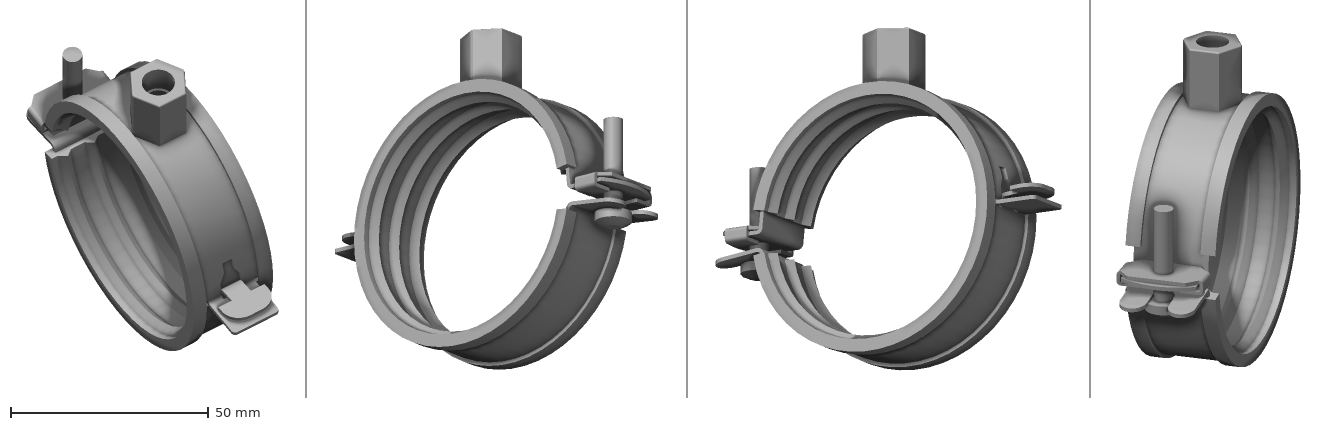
import cadquery as cq
import math


SHEET = 1.0
BAND_OUTER_R = 34.1
BAND_INNER_R = BAND_OUTER_R - SHEET
BAND_HALF_W = 10.0
FAR = 56.6

UPPER_EAR_SIDE_X = -44.2
UPPER_EAR_TIP_X = -47.0
UPPER_EAR_BEND_R = 0.5
UPPER_EAR_CORNER_R = UPPER_EAR_BEND_R + SHEET
HINGE_TAB_END_X = 46.0
HINGE_HALF_W = 7.0
HINGE_TAB_CORNER_R = 1.1
HINGE_BEND_R = 0.9
HINGE_CORNER_R = HINGE_BEND_R + SHEET
WINDOW_CLEARANCE = 0.1
WINDOW_TAPER_Z = 5.7
WINDOW_TAPER_END_Z = 8.3
WINDOW_TOP_Z = 11.3
WINDOW_TOP_HALF_W = 1.5
WINDOW_END_X = BAND_OUTER_R + HINGE_BEND_R + WINDOW_CLEARANCE

HOOK_TILT = 4.9
HOOK_ROOT_Z = 3.8
HOOK_NECK_HALF_W = 2.9
HOOK_HEAD_X = 38.7
HOOK_END_X = 45.7
HOOK_CORNER_R = 5.2
LOWER_END_Z = -0.1
LOWER_EAR_TILT = 6.5
LOBE_TILT = 10.0
LOWER_EAR_ROOT_Z = -3.5
CREASE_X = -46.6
LOBE_TIP_X = -48.4
LOWER_EAR_BEND_R = 0.9
LOWER_EAR_CORNER_R = LOWER_EAR_BEND_R + SHEET
EAR_SLOT_HALF_W = 2.9

LINER_HALF_W = 12.0
LINER_BASE_R = 31.7
LINER_OUTER_R = 35.0
LINER_LIP_Y = 8.0
LINER_GAP_HALF_ANGLE = 9.8
RIB_TIP_R = 30.0
RIB_HALF_W = 2.0
RIB_PITCH = 8.1
RIB_COUNT = 3

SCREW_X = -40.0
SHANK_D = 5.0
SHANK_TOP_Z = 19.6
SHANK_END_Z = -4.0
RELIEF_D = 4.9
RELIEF_END_Z = -4.5
NECK_D = 4.7
HEAD_D = 9.5
HEAD_TOP_Z = -5.3
HEAD_RIM_Z = -7.6
HEAD_BOTTOM_Z = -9.1
HEAD_FLAT_D = 3.8

CLIP_SHEET = 0.9
CLIP_TOP_Z = 2.5
CLIP_BOTTOM_Z = -1.5
CLIP_HALF_L = 5.9
CLIP_SIDE_HALF_W = 7.8
CLIP_HALF_W = 11.5
CLIP_BEND_R = 1.1
FLANGE_HALF_L = 3.2
FLANGE_LIP_Y = 5.5

NUT_ACROSS_FLATS = 13.8
NUT_HALF_W = 7.7
NUT_TOP_Z = 50.0
NUT_EDGE_R = 0.5
NUT_BORE_D = 8.4
NUT_BORE_DEPTH = 7.55
NUT_LOWER_BORE_D = 7.0


def cylinder_z(x, diameter, z_low, z_high):
    """Vertical cylinder on the plane Y = 0."""
    return cq.Workplane("XY", origin=(x, 0, z_low)).circle(diameter / 2).extrude(z_high - z_low)


def box(x_range, y_range, z_range):
    size = [high - low for low, high in (x_range, y_range, z_range)]
    corner = (x_range[0], y_range[0], z_range[0])
    return cq.Workplane("XY").box(*size, centered=False).translate(corner)


def band_side():
    """Plane of the rear band edge, from which sheet shapes grow toward the front edge."""
    return cq.Workplane("XZ", origin=(0, BAND_HALF_W, 0))


def sheet_profile(points):
    """Side profile in the XZ plane, extruded over the full band width."""
    return band_side().polyline(points).close().extrude(2 * BAND_HALF_W)


def full_band():
    return band_side().circle(BAND_OUTER_R).circle(BAND_INNER_R).extrude(2 * BAND_HALF_W)


def plan_prism(plan):
    """Tall prism over a plan outline, used to trim sheet metal to that outline."""
    return plan.extrude(FAR, both=True)


def round_edge(body, x, z, radius):
    """Round the edge along Y that lies nearest to (x, z)."""
    return body.edges("|Y").edges(cq.selectors.NearestToPointSelector((x, 0, z))).fillet(radius)


def beside(half_width):
    """The two Y ranges on either side of a centred strip."""
    return [(-FAR, -half_width), (half_width, FAR)]


def circle_x(radius, z):
    return math.sqrt(radius**2 - z**2)


def make_upper_band():
    band = full_band().intersect(box((-FAR, FAR), (-FAR, FAR), (0, FAR)))
    for y_range in beside(HINGE_HALF_W):
        band = band.cut(box((0, FAR), y_range, (0, HINGE_CORNER_R)))
    root_x = BAND_INNER_R + SHEET / 2
    ear = box((-FAR, -root_x), (-BAND_HALF_W, BAND_HALF_W), (0, SHEET))
    tab = box((root_x, HINGE_TAB_END_X), (-HINGE_HALF_W, HINGE_HALF_W), (0, SHEET))
    tab = tab.edges("|Z and >X").fillet(HINGE_TAB_CORNER_R)
    band = band.union(ear).union(tab)

    bend_x = circle_x(BAND_OUTER_R, SHEET)
    band = round_edge(band, -BAND_INNER_R, 0, UPPER_EAR_CORNER_R)
    band = round_edge(band, -bend_x, SHEET, UPPER_EAR_BEND_R)
    band = round_edge(band, BAND_INNER_R, 0, HINGE_CORNER_R)
    band = round_edge(band, bend_x, SHEET, HINGE_BEND_R)

    plan = (
        cq.Workplane("XY")
        .moveTo(FAR, -BAND_HALF_W)
        .lineTo(FAR, BAND_HALF_W)
        .lineTo(UPPER_EAR_SIDE_X, BAND_HALF_W)
        .threePointArc((UPPER_EAR_TIP_X, 0), (UPPER_EAR_SIDE_X, -BAND_HALF_W))
        .close()
    )
    band = band.intersect(plan_prism(plan))
    screw_hole = cylinder_z(SCREW_X, SHANK_D, -SHEET, 2 * SHEET)
    return band.cut(hook_window()).cut(screw_hole)


def hook_window():
    """Opening through band and bend that the hook of the lower half passes through."""
    half_w = HOOK_NECK_HALF_W + WINDOW_CLEARANCE
    outline = [
        (-half_w, -SHEET),
        (half_w, -SHEET),
        (half_w, WINDOW_TAPER_Z),
        (WINDOW_TOP_HALF_W, WINDOW_TAPER_END_Z),
        (WINDOW_TOP_HALF_W, WINDOW_TOP_Z),
        (-WINDOW_TOP_HALF_W, WINDOW_TOP_Z),
        (-WINDOW_TOP_HALF_W, WINDOW_TAPER_END_Z),
        (-half_w, WINDOW_TAPER_Z),
    ]
    return cq.Workplane("YZ").polyline(outline).close().extrude(WINDOW_END_X)


def ear_top(x):
    return LOWER_EAR_ROOT_Z + (x + BAND_OUTER_R) * math.tan(math.radians(LOWER_EAR_TILT))


def hook_top(x):
    return HOOK_ROOT_Z + (x - BAND_OUTER_R) * math.tan(math.radians(HOOK_TILT))


def make_lower_band():
    join_x = BAND_INNER_R / 2
    below_ends = sheet_profile(
        [
            (-FAR, ear_top(-FAR)),
            (-join_x, ear_top(-join_x)),
            (join_x, hook_top(join_x)),
            (FAR, hook_top(FAR)),
            (FAR, -FAR),
            (-FAR, -FAR),
        ]
    )
    tip_z = ear_top(CREASE_X) - (CREASE_X - LOBE_TIP_X) * math.tan(math.radians(LOBE_TILT))
    root_x = -circle_x(BAND_INNER_R, LOWER_EAR_ROOT_Z) - SHEET / 2
    ear = sheet_profile(
        [
            (root_x, ear_top(root_x)),
            (CREASE_X, ear_top(CREASE_X)),
            (LOBE_TIP_X, tip_z),
            (LOBE_TIP_X, tip_z - SHEET),
            (CREASE_X, ear_top(CREASE_X) - SHEET),
            (root_x, ear_top(root_x) - SHEET),
        ]
    )
    hook_root_x = circle_x(BAND_INNER_R, HOOK_ROOT_Z) + SHEET / 2
    hook = sheet_profile(
        [
            (hook_root_x, hook_top(hook_root_x)),
            (HOOK_END_X, hook_top(HOOK_END_X)),
            (HOOK_END_X, hook_top(HOOK_END_X) - SHEET),
            (hook_root_x, hook_top(hook_root_x) - SHEET),
        ]
    )
    band = full_band().intersect(below_ends).union(ear).union(hook)

    ear_corner_x = -circle_x(BAND_INNER_R, LOWER_EAR_ROOT_Z)
    ear_root_z = LOWER_EAR_ROOT_Z - SHEET
    hook_corner_x = circle_x(BAND_INNER_R, HOOK_ROOT_Z)
    hook_root_z = HOOK_ROOT_Z - SHEET
    band = round_edge(band, ear_corner_x, ear_top(ear_corner_x), LOWER_EAR_CORNER_R)
    band = round_edge(band, -circle_x(BAND_OUTER_R, ear_root_z), ear_root_z, LOWER_EAR_BEND_R)
    band = round_edge(band, hook_corner_x, hook_top(hook_corner_x), HINGE_CORNER_R)
    band = round_edge(band, circle_x(BAND_OUTER_R, hook_root_z), hook_root_z, HINGE_BEND_R)

    band = band.intersect(lower_plan())
    for y_range in beside(HOOK_NECK_HALF_W):
        band = band.cut(box((0, HOOK_HEAD_X), y_range, (LOWER_END_Z, FAR)))
    head_seat = cylinder_z(SCREW_X, HEAD_D, HEAD_RIM_Z, HEAD_TOP_Z)
    return band.cut(head_seat)


def lower_plan():
    """Plan of the lower half: two round lobes, the slot between them and the hook head."""
    lobe_r = (BAND_HALF_W - EAR_SLOT_HALF_W) / 2
    lobe_x = LOBE_TIP_X + lobe_r
    lobe_y = EAR_SLOT_HALF_W + lobe_r
    main = box((lobe_x, BAND_OUTER_R), (-BAND_HALF_W, BAND_HALF_W), (-FAR, FAR))
    lobes = plan_prism(cq.Workplane("XY").pushPoints([(lobe_x, -lobe_y), (lobe_x, lobe_y)]).circle(lobe_r))
    slot = box((-FAR, SCREW_X), (-EAR_SLOT_HALF_W, EAR_SLOT_HALF_W), (-FAR, FAR))
    slot = slot.union(plan_prism(cq.Workplane("XY").center(SCREW_X, 0).circle(EAR_SLOT_HALF_W)))
    hook = box((0, HOOK_END_X), (-HINGE_HALF_W, HINGE_HALF_W), (-FAR, FAR))
    hook = hook.edges("|Z and >X").fillet(HOOK_CORNER_R)
    return main.union(lobes).cut(slot).union(hook)


def make_liner():
    section = [
        (LINER_BASE_R, -LINER_HALF_W),
        (LINER_OUTER_R, -LINER_HALF_W),
        (LINER_OUTER_R, -LINER_LIP_Y),
        (BAND_OUTER_R, -LINER_LIP_Y),
        (BAND_OUTER_R, -BAND_HALF_W),
        (BAND_INNER_R, -BAND_HALF_W),
        (BAND_INNER_R, BAND_HALF_W),
        (BAND_OUTER_R, BAND_HALF_W),
        (BAND_OUTER_R, LINER_LIP_Y),
        (LINER_OUTER_R, LINER_LIP_Y),
        (LINER_OUTER_R, LINER_HALF_W),
        (LINER_BASE_R, LINER_HALF_W),
    ]
    for index in range(RIB_COUNT):
        rib_y = ((RIB_COUNT - 1) / 2 - index) * RIB_PITCH
        section.append((LINER_BASE_R, rib_y + RIB_HALF_W))
        section.append((RIB_TIP_R, rib_y))
        section.append((LINER_BASE_R, rib_y - RIB_HALF_W))
    ring = cq.Workplane("XY").polyline(section).close().revolve(360, (0, 0, 0), (0, 1, 0))
    gap_half_h = FAR * math.tan(math.radians(LINER_GAP_HALF_ANGLE))
    gap_outline = [(0, 0), (-FAR, gap_half_h), (-FAR, -gap_half_h)]
    gap = cq.Workplane("XZ").polyline(gap_outline).close().extrude(FAR, both=True)
    return ring.cut(gap)


def make_screw():
    head_r = HEAD_D / 2
    flat_r = HEAD_FLAT_D / 2
    dome_h = HEAD_RIM_Z - HEAD_BOTTOM_Z
    centre_z = (HEAD_RIM_Z + HEAD_BOTTOM_Z) / 2 + (head_r**2 - flat_r**2) / (2 * dome_h)
    dome_r = math.hypot(flat_r, HEAD_BOTTOM_Z - centre_z)
    mid_r = (head_r + flat_r) / 2
    mid_z = centre_z - math.sqrt(dome_r**2 - mid_r**2)
    profile = (
        cq.Workplane("XZ")
        .moveTo(0, SHANK_TOP_Z)
        .lineTo(SHANK_D / 2, SHANK_TOP_Z)
        .lineTo(SHANK_D / 2, SHANK_END_Z)
        .lineTo(RELIEF_D / 2, SHANK_END_Z)
        .lineTo(RELIEF_D / 2, RELIEF_END_Z)
        .lineTo(NECK_D / 2, RELIEF_END_Z)
        .lineTo(NECK_D / 2, HEAD_TOP_Z)
        .lineTo(head_r, HEAD_TOP_Z)
        .lineTo(head_r, HEAD_RIM_Z)
        .threePointArc((mid_r, mid_z), (flat_r, HEAD_BOTTOM_Z))
        .lineTo(0, HEAD_BOTTOM_Z)
        .close()
    )
    return profile.revolve(360, (0, 0, 0), (0, 1, 0)).translate((SCREW_X, 0, 0))


def make_slide_clip():
    fold_start_y = CLIP_HALF_W - CLIP_BEND_R
    plate_outline = [
        (CLIP_HALF_L, -CLIP_SIDE_HALF_W),
        (CLIP_HALF_L, CLIP_SIDE_HALF_W),
        (FLANGE_HALF_L, fold_start_y),
        (-FLANGE_HALF_L, fold_start_y),
        (-CLIP_HALF_L, CLIP_SIDE_HALF_W),
        (-CLIP_HALF_L, -CLIP_SIDE_HALF_W),
        (-FLANGE_HALF_L, -fold_start_y),
        (FLANGE_HALF_L, -fold_start_y),
    ]
    plate_base = cq.Workplane("XY", origin=(SCREW_X, 0, CLIP_TOP_Z - CLIP_SHEET))
    plate = plate_base.polyline(plate_outline).close().extrude(CLIP_SHEET)

    x_range = (SCREW_X - FLANGE_HALF_L, SCREW_X + FLANGE_HALF_L)
    inner_y = CLIP_HALF_W - CLIP_SHEET
    channel = box(x_range, (-CLIP_HALF_W, CLIP_HALF_W), (CLIP_BOTTOM_Z, CLIP_TOP_Z))
    channel = channel.edges("|X").fillet(CLIP_BEND_R)
    inside = box(x_range, (-inner_y, inner_y), (CLIP_BOTTOM_Z + CLIP_SHEET, CLIP_TOP_Z - CLIP_SHEET))
    opening = box(x_range, (-FLANGE_LIP_Y, FLANGE_LIP_Y), (CLIP_BOTTOM_Z, CLIP_TOP_Z - CLIP_SHEET))
    screw_hole = cylinder_z(SCREW_X, SHANK_D, CLIP_BOTTOM_Z, CLIP_TOP_Z)
    return plate.union(channel.cut(inside).cut(opening)).cut(screw_hole)


def make_nut():
    height = NUT_TOP_Z - BAND_OUTER_R
    across_corners = NUT_ACROSS_FLATS / math.cos(math.pi / 6)
    base = cq.Workplane("XY", origin=(0, 0, BAND_OUTER_R))
    nut = base.polygon(6, across_corners).extrude(height).rotate((0, 0, 0), (0, 0, 1), 90)
    nut = nut.intersect(box((-FAR, FAR), (-NUT_HALF_W, NUT_HALF_W), (0, FAR)))
    nut = nut.faces(">Z").edges().fillet(NUT_EDGE_R)
    bore = cylinder_z(0, NUT_BORE_D, NUT_TOP_Z - NUT_BORE_DEPTH, NUT_TOP_Z)
    lower_bore = cylinder_z(0, NUT_LOWER_BORE_D, BAND_OUTER_R, NUT_TOP_Z)
    return nut.cut(bore).cut(lower_bore)


upper_band = make_upper_band()
lower_band = make_lower_band()
liner = make_liner()
screw = make_screw()
slide_clip = make_slide_clip()
nut = make_nut()

result = cq.Compound.makeCompound(
    [
        upper_band.solids().val(),
        lower_band.solids().val(),
        liner.solids().val(),
        screw.solids().val(),
        slide_clip.solids().val(),
        nut.solids().val(),
    ]
)